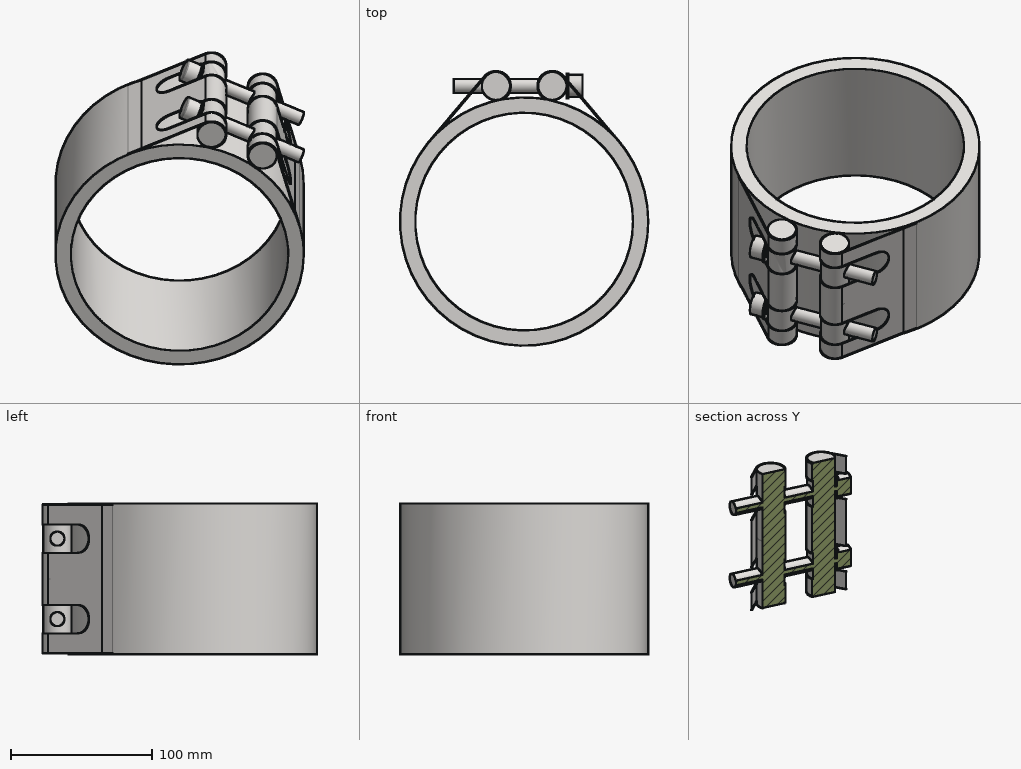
import math

import cadquery as cq

SLEEVE_OUTER_RADIUS = 176 / 2
SLEEVE_BORE_RADIUS = 154 / 2
SLEEVE_HEIGHT = 107

PIN_RADIUS = 20 / 2
PIN_HEIGHT = 106
PIN_X = 20
STRAP_THICKNESS = 0.6
TOTAL_REACH_Y = 194.63 - SLEEVE_OUTER_RADIUS
WRAP_RADIUS = PIN_RADIUS + STRAP_THICKNESS
PIN_Y = TOTAL_REACH_Y - WRAP_RADIUS

STRAP_HEIGHT = 105
SLOT_WIDTH = 20
SLOT_REACH = 38

BOLT_SPACING = 57
BOLT_RADIUS = 10 / 2
BOLT_TIP_X = -50
WASHER_RADIUS = 18 / 2
WASHER_THICKNESS = 1.5
HEAD_RADIUS = 16 / 2
HEAD_LENGTH = 10
HEAD_FILLET = 0.5
WASHER_X = PIN_X + PIN_RADIUS
HEAD_X = WASHER_X + WASHER_THICKNESS
BOLT_HEIGHTS = (-BOLT_SPACING / 2, BOLT_SPACING / 2)

PIN_DISTANCE = math.hypot(PIN_X, PIN_Y)
PIN_ANGLE = math.atan2(PIN_Y, PIN_X)
STRAP_ANGLE = PIN_ANGLE - math.acos((SLEEVE_OUTER_RADIUS - WRAP_RADIUS) / PIN_DISTANCE)


def polar(radius, angle, center=(0, 0)):
    """Point at a radius and angle (radians) from a center."""
    return (center[0] + radius * math.cos(angle), center[1] + radius * math.sin(angle))


def extrude_centered(profile, height):
    """Extrude an XY profile to equal heights above and below Z = 0."""
    return profile.extrude(height / 2, both=True)


def cylinder_x(radius, start_x, end_x, z):
    """Cylinder along X on the line through the pin axes."""
    return (
        cq.Workplane("YZ", origin=(start_x, PIN_Y, z))
        .circle(radius)
        .extrude(end_x - start_x)
    )


def make_sleeve():
    ring = cq.Workplane("XY").circle(SLEEVE_OUTER_RADIUS).circle(SLEEVE_BORE_RADIUS)
    return extrude_centered(ring, SLEEVE_HEIGHT)


def make_strap_slot(z):
    """Round-ended cutter, normal to the flat strap and open past the pin."""
    start = polar(WRAP_RADIUS, STRAP_ANGLE, (PIN_X, PIN_Y))
    normal = polar(1, STRAP_ANGLE)
    toward_sleeve = (normal[1], -normal[0])
    plane = cq.Plane(
        origin=(start[0], start[1], z),
        xDir=(toward_sleeve[0], toward_sleeve[1], 0),
        normal=(normal[0], normal[1], 0),
    )
    half_width = SLOT_WIDTH / 2
    open_end = -2 * WRAP_RADIUS
    arc_start = SLOT_REACH - half_width
    return (
        cq.Workplane(plane)
        .moveTo(open_end, -half_width)
        .lineTo(arc_start, -half_width)
        .threePointArc((SLOT_REACH, 0), (arc_start, half_width))
        .lineTo(open_end, half_width)
        .close()
        .extrude(2 * WRAP_RADIUS, both=True)
    )


def make_strap():
    """Right-hand strap: flat tangent run, then over the pin and down to the sleeve."""
    pin = (PIN_X, PIN_Y)
    wrap_end = PIN_ANGLE + math.pi
    wrap_middle = (STRAP_ANGLE + wrap_end) / 2
    profile = (
        cq.Workplane("XY")
        .moveTo(*polar(SLEEVE_OUTER_RADIUS, STRAP_ANGLE))
        .lineTo(*polar(WRAP_RADIUS, STRAP_ANGLE, pin))
        .threePointArc(polar(WRAP_RADIUS, wrap_middle, pin), polar(WRAP_RADIUS, wrap_end, pin))
        .lineTo(*polar(PIN_RADIUS, wrap_end, pin))
        .threePointArc(polar(PIN_RADIUS, wrap_middle, pin), polar(PIN_RADIUS, STRAP_ANGLE, pin))
        .lineTo(*polar(SLEEVE_OUTER_RADIUS - STRAP_THICKNESS, STRAP_ANGLE))
        .close()
    )
    strap = extrude_centered(profile, STRAP_HEIGHT)
    for z in BOLT_HEIGHTS:
        strap = strap.cut(make_strap_slot(z))
    return strap


def make_pin():
    circle = cq.Workplane("XY").center(PIN_X, PIN_Y).circle(PIN_RADIUS)
    return extrude_centered(circle, PIN_HEIGHT)


def make_bolt(z):
    shank = cylinder_x(BOLT_RADIUS, BOLT_TIP_X, HEAD_X, z)
    washer = cylinder_x(WASHER_RADIUS, WASHER_X, HEAD_X, z)
    head = cylinder_x(HEAD_RADIUS, HEAD_X, HEAD_X + HEAD_LENGTH, z)
    head = head.faces(">X").edges().fillet(HEAD_FILLET)
    return shank.union(washer).union(head)


strap_and_pin = make_strap().union(make_pin())
result = make_sleeve().union(strap_and_pin).union(strap_and_pin.mirror("YZ"))
for bolt_z in BOLT_HEIGHTS:
    result = result.union(make_bolt(bolt_z))